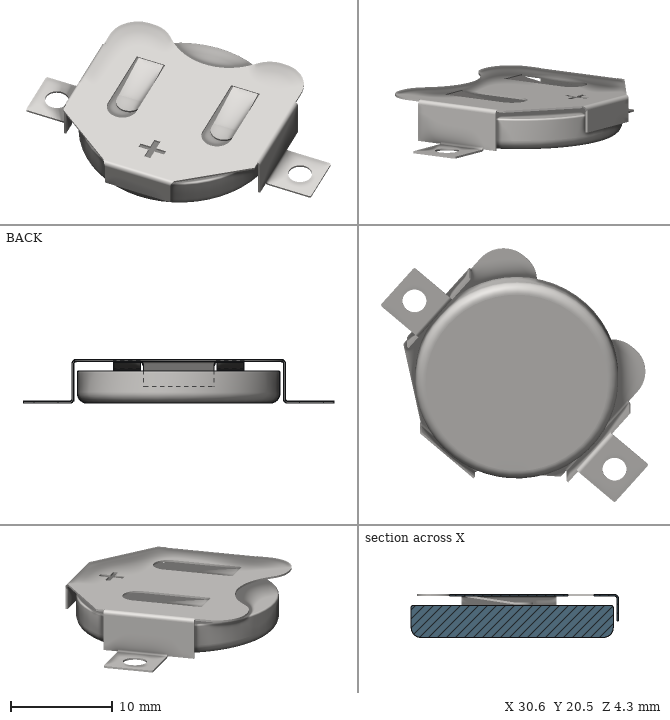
import cadquery as cq
import math


cos45 = math.cos(math.radians(45))
cos67 = math.cos(math.radians(67.5))
sin67 = math.sin(math.radians(67.5))

cell_diameter = 20.0
cell_height = 3.2
cell_bottom_round = 1.0
cell_top_round = 0.18

holder_height = 4.3
sheet = 0.2
bend_inner = 0.2
bend_outer = bend_inner + sheet
plate_underside = holder_height - sheet
bend_start_z = holder_height - bend_outer

plate_half_width = 10.3
plate_back_y = 9.38
lobe_radius = 3.0
finger_notch_radius = 2 * lobe_radius
finger_notch_y = 6.22
shoulder_y = -5.2

stop_clearance = 0.29
stop_face_y = -(cell_diameter / 2 + stop_clearance + sheet)
stop_bend_y = stop_face_y + bend_outer
stop_bottom_z = 1.62
stop_half_width = 3.5
stop_root_half_width = 3.8

wall_outer_x = 10.55
wall_inner_x = wall_outer_x - sheet
wall_bend_x = wall_outer_x - bend_outer
wall_back_y = 4.95
wall_front_y = -4.38
foot_tip_x = 15.32
foot_width = 5.1
foot_y = -0.35
foot_corner_radius = 0.18
foot_hole_x = 13.1
foot_hole_diameter = 2.35

tongue_x = 5.1
slot_width = 3.05
slot_back_y = 4.57
slot_front_y = -4.05
tongue_width = 2.67
tongue_bend_y = -0.3
tongue_tip_y = -2.08
tongue_step = sheet / 2
tongue_gap = 0.05
tongue_bottom_z = cell_height + tongue_gap

plus_y = -6.8
plus_length_x = 2.73
plus_length_y = 2.5
plus_bar_x = 0.65
plus_bar_y = 0.5


def make_cell():
    """Coin cell with a large round at the bottom and a small one at the top."""
    cell = cq.Workplane("XY").circle(cell_diameter / 2).extrude(cell_height)
    cell = cell.faces("<Z").edges().fillet(cell_bottom_round)
    return cell.faces(">Z").edges().fillet(cell_top_round)


def make_plate():
    """Flat top plate: two rear lobes, a finger notch between them and a tapered front."""
    rise45 = 1 - cos45

    notch_end_x = finger_notch_radius * cos45
    notch_end_y = finger_notch_y + finger_notch_radius * rise45
    lobe_end_y = plate_back_y - lobe_radius * rise45
    lobe_end_x = notch_end_x + lobe_end_y - notch_end_y
    lobe_inner_x = lobe_end_x + lobe_radius * cos45
    lobe_outer_x = plate_half_width - lobe_radius
    lobe_center_y = plate_back_y - lobe_radius

    half = (
        cq.Workplane("XY", origin=(0, 0, plate_underside))
        .moveTo(0, stop_bend_y)
        .lineTo(stop_root_half_width, stop_bend_y)
        .lineTo(plate_half_width, shoulder_y)
        .lineTo(plate_half_width, lobe_center_y)
        .threePointArc(
            (lobe_outer_x + lobe_radius * cos45, lobe_end_y),
            (lobe_outer_x, plate_back_y),
        )
        .lineTo(lobe_inner_x, plate_back_y)
        .threePointArc(
            (lobe_inner_x - lobe_radius * cos67, lobe_center_y + lobe_radius * sin67),
            (lobe_end_x, lobe_end_y),
        )
        .lineTo(notch_end_x, notch_end_y)
        .threePointArc(
            (finger_notch_radius * cos67, finger_notch_y + finger_notch_radius * (1 - sin67)),
            (0, finger_notch_y),
        )
        .close()
        .extrude(sheet)
    )
    return half.union(half.mirror("YZ"))


def make_flange(plane, bend_start, bottom_z):
    """Profile of a flange that bends down from the plate, drawn outward from bend_start."""
    return (
        plane.moveTo(bend_start, holder_height)
        .threePointArc(
            (bend_start + bend_outer * cos45, bend_start_z + bend_outer * cos45),
            (bend_start + bend_outer, bend_start_z),
        )
        .lineTo(bend_start + bend_outer, bottom_z)
        .lineTo(bend_start + bend_inner, bottom_z)
        .lineTo(bend_start + bend_inner, bend_start_z)
        .threePointArc(
            (bend_start + bend_inner * cos45, bend_start_z + bend_inner * cos45),
            (bend_start, plate_underside),
        )
        .close()
    )


def make_stop_tab():
    """Front tab that bends down in front of the cell, its sides tapering over the bend."""
    plane = cq.Workplane(cq.Plane((0, 0, 0), xDir=(0, -1, 0), normal=(-1, 0, 0)))
    tab = make_flange(plane, -stop_bend_y, stop_bottom_z)
    tab = tab.extrude(stop_root_half_width, both=True)
    taper_length = bend_outer * math.sqrt(2)
    tilted = cq.Plane((0, stop_bend_y, holder_height), xDir=(1, 0, 0), normal=(0, -1, 1))
    outline = (
        cq.Workplane(tilted)
        .moveTo(-stop_root_half_width, 0)
        .lineTo(stop_root_half_width, 0)
        .lineTo(stop_half_width, -taper_length)
        .lineTo(stop_half_width, -holder_height)
        .lineTo(-stop_half_width, -holder_height)
        .lineTo(-stop_half_width, -taper_length)
        .close()
        .extrude(holder_height, both=True)
    )
    return tab.intersect(outline)


def make_foot():
    """Mounting foot that bends outward from the bottom of the +X wall."""
    bend_x = wall_outer_x + bend_inner
    foot = (
        cq.Workplane("XZ", origin=(0, foot_y + foot_width / 2, 0))
        .moveTo(wall_inner_x, bend_outer)
        .threePointArc(
            (bend_x - bend_outer * cos45, bend_outer - bend_outer * cos45),
            (bend_x, 0),
        )
        .lineTo(foot_tip_x, 0)
        .lineTo(foot_tip_x, sheet)
        .lineTo(bend_x, sheet)
        .threePointArc(
            (bend_x - bend_inner * cos45, bend_outer - bend_inner * cos45),
            (wall_outer_x, bend_outer),
        )
        .close()
        .extrude(foot_width)
    )
    foot = foot.faces(">X").edges("|Z").fillet(foot_corner_radius)
    hole = cq.Workplane("XY").center(foot_hole_x, foot_y).circle(foot_hole_diameter / 2).extrude(sheet)
    return foot.cut(hole)


def make_side():
    """Side wall at +X with its mounting foot."""
    wall_length = wall_back_y - wall_front_y
    plane = cq.Workplane("XZ", origin=(0, wall_back_y, 0))
    wall = make_flange(plane, wall_bend_x, sheet).extrude(wall_length)
    foot_gap = (
        cq.Workplane("XY", origin=(wall_outer_x, foot_y, 0))
        .rect(2 * bend_outer, foot_width)
        .extrude(bend_outer)
    )
    return wall.cut(foot_gap).union(make_foot())


def make_wall_relief():
    """Strip beyond the +X bend line that the bent side wall replaces."""
    return cq.Workplane("XY").box(
        bend_outer,
        wall_back_y - wall_front_y,
        holder_height,
        centered=False,
    ).translate((wall_bend_x, wall_front_y, 0))


def make_slot(x):
    """Opening around a tongue: square at the back, round at the front."""
    radius = slot_width / 2
    arc_y = slot_front_y + radius
    return (
        cq.Workplane("XY", origin=(x, 0, plate_underside))
        .moveTo(-radius, slot_back_y)
        .lineTo(-radius, arc_y)
        .threePointArc((0, slot_front_y), (radius, arc_y))
        .lineTo(radius, slot_back_y)
        .close()
        .extrude(sheet)
    )


def make_tongue(x):
    """Spring tongue that slopes down from the plate and ends level just above the cell."""
    radius = tongue_width / 2
    blank = (
        cq.Workplane("YZ", origin=(x, 0, 0))
        .moveTo(slot_back_y, holder_height - tongue_step)
        .lineTo(tongue_bend_y, tongue_bottom_z + sheet)
        .lineTo(tongue_tip_y, tongue_bottom_z + sheet)
        .lineTo(tongue_tip_y, tongue_bottom_z)
        .lineTo(tongue_bend_y, tongue_bottom_z)
        .lineTo(slot_back_y, plate_underside - tongue_step)
        .close()
        .extrude(radius, both=True)
    )
    outline = (
        cq.Workplane("XY", origin=(x, 0, 0))
        .moveTo(-radius, slot_back_y)
        .lineTo(-radius, tongue_tip_y + radius)
        .threePointArc((0, tongue_tip_y), (radius, tongue_tip_y + radius))
        .lineTo(radius, slot_back_y)
        .close()
        .extrude(holder_height)
    )
    return blank.intersect(outline)


def make_plus():
    """Plus-shaped opening that marks the positive side."""
    origin = (0, plus_y, plate_underside)
    bar_x = cq.Workplane("XY", origin=origin).rect(plus_length_x, plus_bar_y).extrude(sheet)
    bar_y = cq.Workplane("XY", origin=origin).rect(plus_bar_x, plus_length_y).extrude(sheet)
    return bar_x.union(bar_y)


def make_holder():
    """Holder bent from one sheet: plate, stop tab, walls, feet and contact tongues."""
    relief = make_wall_relief()
    side = make_side()
    body = make_plate().cut(relief).cut(relief.mirror("YZ"))
    body = body.union(side).union(side.mirror("YZ")).union(make_stop_tab())
    for x in (-tongue_x, tongue_x):
        body = body.cut(make_slot(x)).union(make_tongue(x))
    return body.cut(make_plus())


cell = make_cell()
holder = make_holder()

result = cq.Compound.makeCompound([cell.solids().val(), holder.solids().val()])